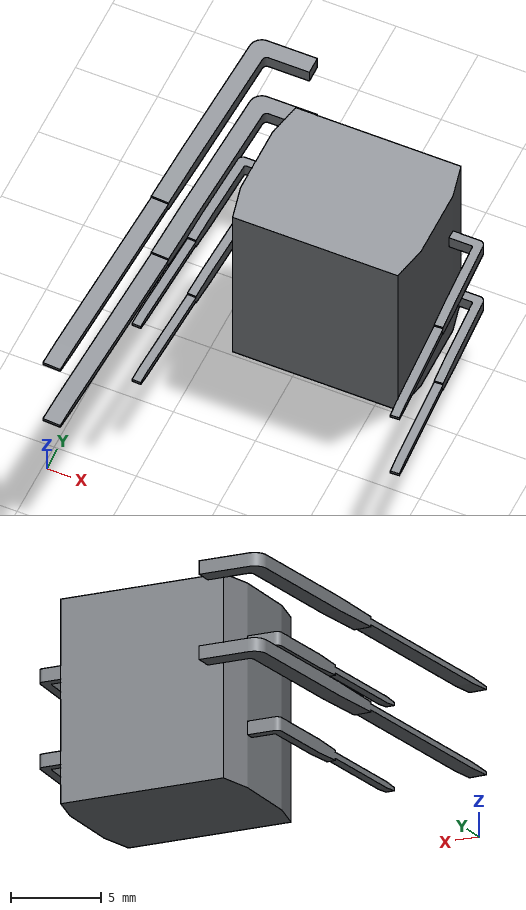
import cadquery as cq
import math


HOUSING_WIDTH = 11.0
HOUSING_DEPTH = 8.52
HOUSING_HEIGHT = 12.0
BEVEL_X = 0.46
BEVEL_Y = 2.1

LEAD_LEAN = math.radians(3)
LEAD_PITCH = 5.0
LEADS_PER_PAIR = 2
SHOULDER_HEIGHT = 0.8
TAPER_END_HEIGHT = 0.6
PIN_HEIGHT = 0.35
TIP_HEIGHT = 0.18

LONG_REACH = 25.75
LONG_THICKNESS = 1.08
LONG_BACK_OVERHANG = 4.12
LONG_HOUSING_GAP = 0.08
LONG_ARM_LENGTH = 3.75
LONG_OUTER_RADIUS = 0.75
LONG_INNER_RADIUS = 0.25
LONG_TAPER_LENGTH = 3.55
LONG_TIP_LENGTH = 1.57
LONG_TOP_OFFSET = 1.0

SHORT_REACH = 13.1
SHORT_THICKNESS = 0.55
SHORT_ARM_LENGTH = 1.95
SHORT_OUTER_RADIUS = 0.3
SHORT_INNER_RADIUS = 0.08
SHORT_TAPER_LENGTH = 1.85
SHORT_TIP_LENGTH = 0.85
SHORT_TOP_OFFSET = 3.5


def make_housing():
    half_width = HOUSING_WIDTH / 2
    end_half_width = half_width - BEVEL_X
    outline = [
        (-end_half_width, 0),
        (end_half_width, 0),
        (half_width, BEVEL_Y),
        (half_width, HOUSING_DEPTH - BEVEL_Y),
        (end_half_width, HOUSING_DEPTH),
        (-end_half_width, HOUSING_DEPTH),
        (-half_width, HOUSING_DEPTH - BEVEL_Y),
        (-half_width, BEVEL_Y),
    ]
    return cq.Workplane("XY").polyline(outline).close().extrude(HOUSING_HEIGHT)


def bent_strip(arm_length, leg_length, thickness, outer_radius, inner_radius):
    """L-shaped strip: arm towards +X, leg leaning down -Y, sharp outer corner at the origin."""
    lean_sin = math.sin(LEAD_LEAN)
    lean_cos = math.cos(LEAD_LEAN)
    outer_tip = (-leg_length * lean_sin, -leg_length * lean_cos)
    inner_tip = (outer_tip[0] + thickness * lean_cos, outer_tip[1] - thickness * lean_sin)
    inner_corner = (thickness * (1 - lean_sin) / lean_cos, -thickness)
    strip = (
        cq.Workplane("XY")
        .polyline([
            (0, 0),
            (arm_length, 0),
            (arm_length, -thickness),
            inner_corner,
            inner_tip,
            outer_tip,
        ])
        .close()
        .extrude(SHOULDER_HEIGHT / 2, both=True)
    )
    strip = strip.edges(cq.NearestToPointSelector((0, 0, 0))).fillet(outer_radius)
    return strip.edges(cq.NearestToPointSelector((*inner_corner, 0))).fillet(inner_radius)


def height_envelope(arm_length, leg_length, step_distance, taper_length, tip_length):
    """Leaning prism that limits the Z height along the leg: shoulder, taper, step, pin, tip."""
    upper_edge = [
        (arm_length, SHOULDER_HEIGHT / 2),
        (taper_length - step_distance, SHOULDER_HEIGHT / 2),
        (-step_distance, TAPER_END_HEIGHT / 2),
        (-step_distance, PIN_HEIGHT / 2),
        (tip_length - leg_length, PIN_HEIGHT / 2),
        (-leg_length, TIP_HEIGHT / 2),
    ]
    lower_edge = [(along, -height) for along, height in reversed(upper_edge)]
    return (
        cq.Workplane("YZ")
        .polyline(upper_edge + lower_edge)
        .close()
        .extrude(2 * arm_length, both=True)
        .rotate((0, 0, 0), (0, 0, 1), -math.degrees(LEAD_LEAN))
    )


def make_lead(reach, step_depth, arm_length, thickness, outer_radius, inner_radius,
              taper_length, tip_length):
    """Lead with its outer corner at the origin; step_depth is the Y distance from its back to the step."""
    corner_drop = thickness * math.sin(LEAD_LEAN)
    leg_length = (reach - corner_drop) / math.cos(LEAD_LEAN)
    step_distance = (step_depth - corner_drop / 2) / math.cos(LEAD_LEAN)
    strip = bent_strip(arm_length, leg_length, thickness, outer_radius, inner_radius)
    envelope = height_envelope(arm_length, leg_length, step_distance, taper_length, tip_length)
    return strip.intersect(envelope).solids()


def lead_levels(top_offset):
    return [HOUSING_HEIGHT - top_offset - index * LEAD_PITCH for index in range(LEADS_PER_PAIR)]


def make_long_lead(level):
    back_y = HOUSING_DEPTH + LONG_BACK_OVERHANG
    corner_x = -HOUSING_WIDTH / 2 - LONG_HOUSING_GAP - LONG_ARM_LENGTH
    lead = make_lead(
        LONG_REACH, back_y, LONG_ARM_LENGTH, LONG_THICKNESS,
        LONG_OUTER_RADIUS, LONG_INNER_RADIUS, LONG_TAPER_LENGTH, LONG_TIP_LENGTH,
    )
    return lead.translate((corner_x, back_y, level))


def make_short_lead(level):
    """Short lead on the -X side, its arm flush with the back edge of the flat housing side."""
    back_y = HOUSING_DEPTH - BEVEL_Y
    corner_x = -HOUSING_WIDTH / 2 - SHORT_ARM_LENGTH
    lead = make_lead(
        SHORT_REACH, back_y, SHORT_ARM_LENGTH, SHORT_THICKNESS,
        SHORT_OUTER_RADIUS, SHORT_INNER_RADIUS, SHORT_TAPER_LENGTH, SHORT_TIP_LENGTH,
    )
    return lead.translate((corner_x, back_y, level))


housing = make_housing()

long_leads = []
for long_level in lead_levels(LONG_TOP_OFFSET):
    long_leads.append(make_long_lead(long_level).val())

short_leads = []
for short_level in lead_levels(SHORT_TOP_OFFSET):
    left_lead = make_short_lead(short_level)
    right_lead = left_lead.mirror("YZ")
    short_leads += [left_lead.val(), right_lead.val()]

result = cq.Compound.makeCompound([housing.val(), *long_leads, *short_leads])